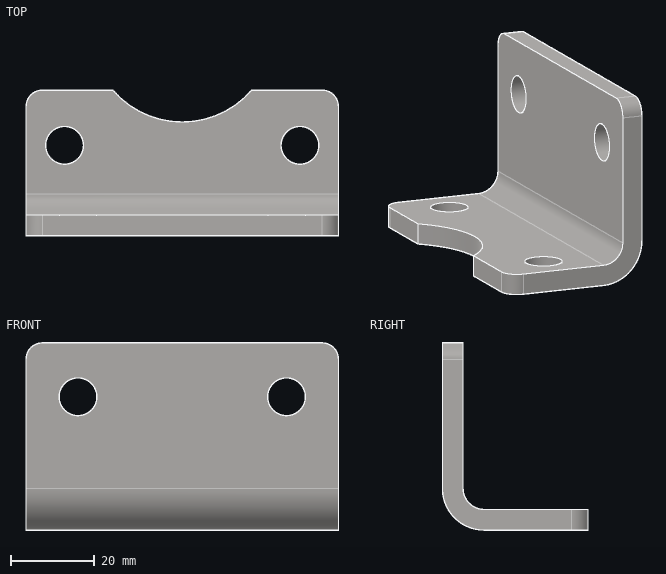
import cadquery as cq

width = 75.0
depth = 35.0
height = 45.0
thickness = 5.0

inner_bend_radius = 5.0
outer_bend_radius = inner_bend_radius + thickness
corner_radius = 4.0

hole_diameter = 9.0
wall_hole_spacing = 50.0
wall_hole_from_top = 13.0
base_hole_spacing = 56.5
base_hole_from_back = 13.3

relief_radius = 22.0
relief_depth = 7.65


def bent_plate():
    """L-shaped strip with a rounded bend, extruded across the width."""
    profile = (
        cq.Workplane("YZ")
        .moveTo(outer_bend_radius, 0)
        .lineTo(depth, 0)
        .lineTo(depth, thickness)
        .lineTo(outer_bend_radius, thickness)
        .radiusArc((thickness, outer_bend_radius), inner_bend_radius)
        .lineTo(thickness, height)
        .lineTo(0, height)
        .lineTo(0, outer_bend_radius)
        .radiusArc((outer_bend_radius, 0), -outer_bend_radius)
        .close()
    )
    return profile.extrude(width / 2, both=True)


def wall_holes():
    """Pair of cylinders through the upright wall."""
    hole_height = height - wall_hole_from_top
    return (
        cq.Workplane("XZ")
        .pushPoints([(side * wall_hole_spacing / 2, hole_height) for side in (-1, 1)])
        .circle(hole_diameter / 2)
        .extrude(-thickness)
    )


def base_holes():
    """Pair of cylinders through the base."""
    hole_y = depth - base_hole_from_back
    return (
        cq.Workplane("XY")
        .pushPoints([(side * base_hole_spacing / 2, hole_y) for side in (-1, 1)])
        .circle(hole_diameter / 2)
        .extrude(thickness)
    )


def back_relief():
    """Cylinder centred beyond the back edge, cutting the shallow arc."""
    centre_y = depth - relief_depth + relief_radius
    return cq.Workplane("XY").center(0, centre_y).circle(relief_radius).extrude(thickness)


plate = bent_plate()
plate = plate.faces(">Z").edges("|Y").fillet(corner_radius)
plate = plate.faces(">Y").edges("|Z").fillet(corner_radius)

result = plate.cut(wall_holes()).cut(base_holes()).cut(back_relief())